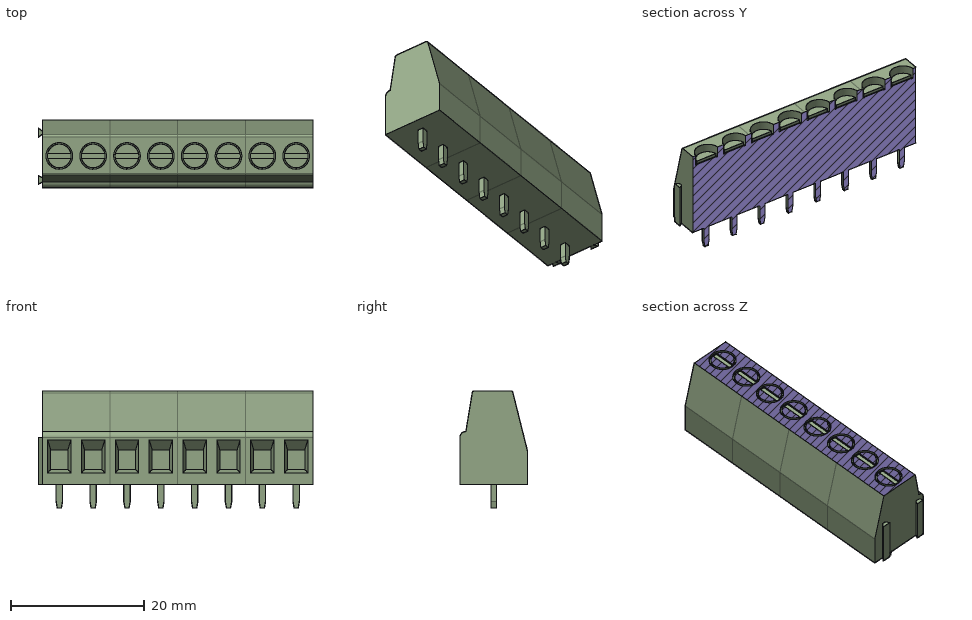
import cadquery as cq

pitch = 5.08
poles_per_module = 2
module_count = 4
pole_count = poles_per_module * module_count
module_width = poles_per_module * pitch

body_depth = 10.2
body_height = 14.1
back_y = body_depth / 2
front_y = -body_depth / 2
back_wall_height = 5.0
back_top_y = 2.82
front_top_y = -3.2
lip_height = 8.0
lip_radius = 0.9
front_step_y = front_y + lip_radius
top_edge_radius = 0.35

rail_projection = 0.6
rail_height = lip_height - lip_radius
back_rail = (3.2, 1.4, 0.5)
front_rail = (-3.9, 1.3, 0.7)

entry_width = 3.5
entry_bottom = 1.8
entry_top = 6.75
funnel_depth = 1.35
funnel_end_width = 2.6
funnel_end_bottom = 2.3
funnel_end_top = 5.25

screw_y = -0.3
well_diameter = 4.0
head_diameter = 3.55
head_recess = 1.2
gap_depth = 0.6
slot_width = 0.75
slot_depth = 0.5

pin_width = 1.0
pin_thickness = 0.9
pin_length = 3.5
pin_tip_length = 1.0
pin_tip_width = 0.65


def make_module(start_x):
    """One housing module: the cross-section extruded along X from start_x."""
    lip_arc_shift = lip_radius * (1 - 0.5 ** 0.5)
    profile = (
        cq.Workplane("YZ", origin=(start_x, 0, 0))
        .moveTo(back_y, 0)
        .lineTo(back_y, back_wall_height)
        .lineTo(back_top_y, body_height)
        .lineTo(front_top_y, body_height)
        .lineTo(front_step_y, lip_height)
        .threePointArc(
            (front_y + lip_arc_shift, lip_height - lip_arc_shift),
            (front_y, lip_height - lip_radius),
        )
        .lineTo(front_y, 0)
        .close()
    )
    return profile.extrude(module_width).edges("|X and >Z").fillet(top_edge_radius)


def make_rail(center_y, tip_width, root_width):
    """Dovetail rail standing on the -X end face, widening away from it."""
    return (
        cq.Workplane("XY")
        .polyline([
            (0, center_y - root_width / 2),
            (-rail_projection, center_y - tip_width / 2),
            (-rail_projection, center_y + tip_width / 2),
            (0, center_y + root_width / 2),
        ])
        .close()
        .extrude(rail_height)
    )


def make_wire_entry(center_x):
    """Funnel-shaped cavity narrowing from the front face inwards."""
    entry_height = entry_top - entry_bottom
    end_height = funnel_end_top - funnel_end_bottom
    entry_z = (entry_top + entry_bottom) / 2
    end_z = (funnel_end_top + funnel_end_bottom) / 2
    return (
        cq.Workplane("XZ", origin=(center_x, front_y, 0))
        .center(0, entry_z)
        .rect(entry_width, entry_height)
        .workplane(offset=-funnel_depth)
        .center(0, end_z - entry_z)
        .rect(funnel_end_width, end_height)
        .loft(ruled=True)
    )


def make_screw_well(center_x):
    """Round well above a slotted screw head, with a narrow gap around the head."""
    well_top = cq.Workplane("XY", origin=(center_x, screw_y, body_height))
    head_top = well_top.workplane(offset=-head_recess)
    well = well_top.circle(well_diameter / 2).extrude(-head_recess - gap_depth)
    head = head_top.circle(head_diameter / 2).extrude(-gap_depth)
    slot = head_top.rect(head_diameter, slot_width).extrude(-slot_depth)
    return well.cut(head.cut(slot))


def make_pin(center_x):
    """Solder pin below the housing with a tip narrowed in X."""
    half_width = pin_width / 2
    half_tip = pin_tip_width / 2
    tip_start = pin_tip_length - pin_length
    return (
        cq.Workplane("XZ", origin=(center_x, 0, 0))
        .polyline([
            (-half_width, 0),
            (-half_width, tip_start),
            (-half_tip, -pin_length),
            (half_tip, -pin_length),
            (half_width, tip_start),
            (half_width, 0),
        ])
        .close()
        .extrude(pin_thickness / 2, both=True)
    )


result = make_module(0)
for module in range(1, module_count):
    result = result.union(make_module(module * module_width), clean=False)

for rail in (back_rail, front_rail):
    result = result.union(make_rail(*rail), clean=False)

for pole in range(pole_count):
    pole_x = (pole + 0.5) * pitch
    result = result.cut(make_wire_entry(pole_x), clean=False)
    result = result.cut(make_screw_well(pole_x), clean=False)
    result = result.union(make_pin(pole_x), clean=False)